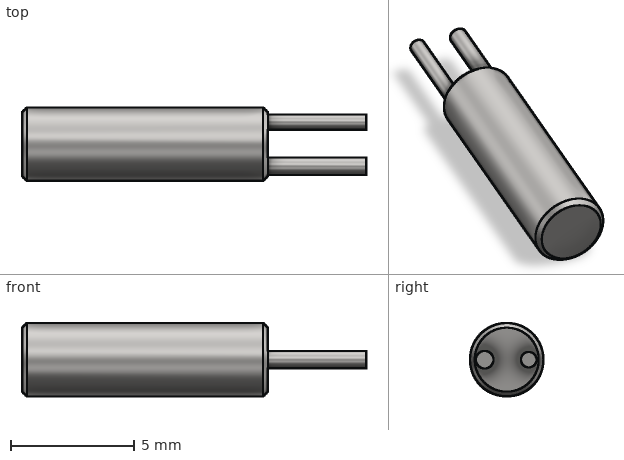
import cadquery as cq

total_length = 14.0
body_length = 10.0
body_diameter = 3.0
chamfer_size = 0.2
rear_pin_diameter = 0.63
front_pin_diameter = 0.71
pin_offset = 0.9

pin_length = total_length - body_length


def make_body():
    """Cylinder along X with both end edges chamfered."""
    cylinder = cq.Workplane("YZ").circle(body_diameter / 2).extrude(body_length)
    return cylinder.edges("%CIRCLE").chamfer(chamfer_size)


def add_pin(part, y_position, diameter):
    """Join a round pin to the +X end face of the body."""
    pin = (
        cq.Workplane("YZ", origin=(body_length, y_position, 0))
        .circle(diameter / 2)
        .extrude(pin_length)
    )
    return part.union(pin)


result = make_body()
result = add_pin(result, pin_offset, rear_pin_diameter)
result = add_pin(result, -pin_offset, front_pin_diameter)